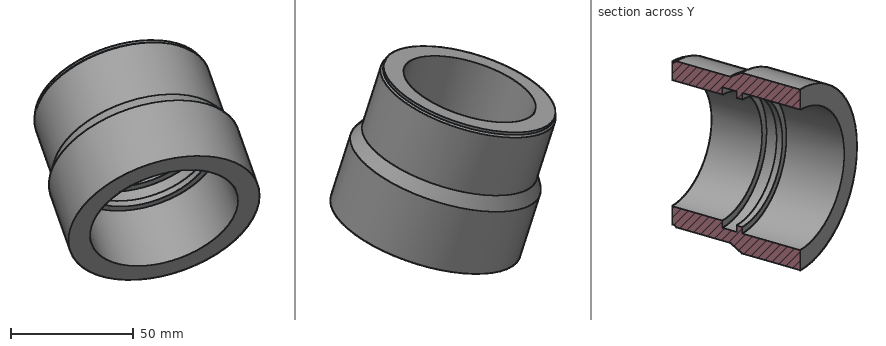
import cadquery as cq

length = 64.0
large_diameter = 81.5

lip_diameter = 73.35
lip_length = 1.2
neck_diameter = 75.0
neck_chamfer = (neck_diameter - lip_diameter) / 2
neck_end = 29.1
outer_cone_end = 34.9

bore_diameter = 56.5
bore_end = 25.3
seat_diameter = 57.2
socket_diameter = 63.0
relief_end = 32.3
seat_end = 35.1


def revolve_about_x(stations):
    """Solid of revolution through (position along X, diameter) stations."""
    profile = [(stations[0][0], 0.0)]
    profile += [(x, diameter / 2) for x, diameter in stations]
    profile.append((stations[-1][0], 0.0))
    return cq.Workplane("XY").polyline(profile).close().revolve(360, (0, 0, 0), (1, 0, 0))


body = revolve_about_x([
    (0.0, lip_diameter),
    (lip_length, lip_diameter),
    (lip_length + neck_chamfer, neck_diameter),
    (neck_end, neck_diameter),
    (outer_cone_end, large_diameter),
    (length, large_diameter),
])

passage = revolve_about_x([
    (0.0, bore_diameter),
    (bore_end, bore_diameter),
    (bore_end, socket_diameter),
    (relief_end, socket_diameter),
    (relief_end, seat_diameter),
    (seat_end, seat_diameter),
    (seat_end, socket_diameter),
    (length, socket_diameter),
])

result = body.cut(passage)